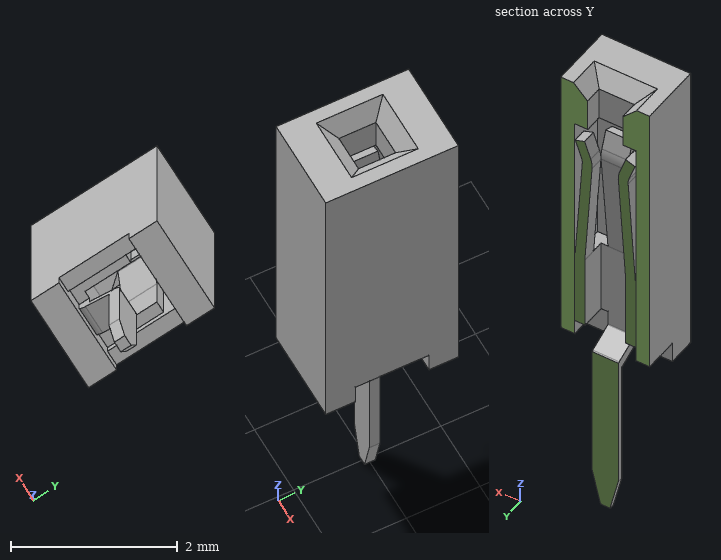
import cadquery as cq
import math

total_height = 6.7
housing_x = 1.27
housing_y = 1.8
housing_bottom = 2.3
recess_y = 1.0
recess_height = 0.3
recess_top = housing_bottom + recess_height
mouth_size = 0.905
throat_size = 0.5
funnel_depth = (mouth_size - throat_size) / 2
throat_length = 0.47
throat_bottom = total_height - funnel_depth - throat_length

sheet = 0.15
tail_width = 0.38
tip_width = 0.14
tip_length = 0.5
box_width = 0.87
box_bottom = 2.815
box_height = 1.07
box_top = box_bottom + box_height
bulge_height = 5.495
finger_top = 5.795
tail_bend_height = 2.36
slope_end_height = 2.56
side_gap = 0.18
back_gap = 0.195
flare = 0.11
side_wall_front = 0.3
side_finger_back = -0.19
tight_bend = 0.01
soft_bend = 0.2
sharp = 0

floor_middle = -recess_y / 2 + sheet / 2
wall_middle = box_width / 2 - sheet / 2


def offset_path(path, distance):
    """Offset an open path to its left, with mitred corners."""
    points = []
    for i, (u, v) in enumerate(path):
        before = path[max(i - 1, 0):i + 1]
        after = path[i:i + 2]
        legs = [leg for leg in (before, after) if len(leg) == 2]
        angles = [math.atan2(b[1] - a[1], b[0] - a[0]) for a, b in legs]
        middle = sum(angles) / len(angles)
        reach = distance / math.cos(angles[0] - middle)
        points.append((u - reach * math.sin(middle), v + reach * math.cos(middle)))
    return points


def bent_strip(plane, path, inside_radii, width):
    """Sheet strip that follows a mid-line path, centred on the plane, with rounded or sharp bends."""
    left = offset_path(path, sheet / 2)
    right = offset_path(path, -sheet / 2)
    outline = left + right[::-1]
    strip = cq.Workplane(plane).workplane(offset=-width / 2).polyline(outline).close().extrude(width)
    frame = cq.Plane.named(plane)
    for i, radius in enumerate(inside_radii, start=1):
        if radius == sharp:
            continue
        (u0, v0), (u1, v1), (u2, v2) = path[i - 1:i + 2]
        turns_left = (u1 - u0) * (v2 - v1) > (v1 - v0) * (u2 - u1)
        inner, outer = (left[i], right[i]) if turns_left else (right[i], left[i])
        for corner, bend in ((inner, radius), (outer, radius + sheet)):
            strip = strip.edges(cq.NearestToPointSelector(frame.toWorldCoords(corner))).fillet(bend)
    return strip


def make_housing():
    block = (
        cq.Workplane("XY", origin=(0, 0, housing_bottom))
        .rect(housing_x, housing_y)
        .extrude(total_height - housing_bottom)
    )
    recess = (
        cq.Workplane("XY", origin=(0, 0, housing_bottom))
        .rect(housing_x, recess_y)
        .extrude(recess_height)
    )
    cavity = (
        cq.Workplane("XY", origin=(0, 0, recess_top))
        .rect(box_width, recess_y)
        .extrude(throat_bottom - recess_top)
    )
    throat = (
        cq.Workplane("XY", origin=(0, 0, throat_bottom))
        .rect(throat_size, throat_size)
        .extrude(throat_length)
    )
    funnel = (
        cq.Workplane("XY", origin=(0, 0, total_height))
        .rect(mouth_size, mouth_size)
        .workplane(offset=-funnel_depth)
        .rect(throat_size, throat_size)
        .loft()
    )
    return block.cut(recess).cut(cavity).cut(throat).cut(funnel)


def make_tail_and_back_finger():
    bulge = -back_gap - sheet / 2
    path = [
        (0, 0),
        (0, tail_bend_height),
        (floor_middle, slope_end_height),
        (floor_middle, box_top),
        (bulge, bulge_height),
        (bulge - flare, finger_top),
    ]
    strip = bent_strip("YZ", path, [tight_bend, tight_bend, sharp, soft_bend], tail_width)
    half_tip = tip_width / 2
    half_tail = tail_width / 2
    tip_waste = (
        cq.Workplane("XZ")
        .polyline([(half_tip, 0), (half_tail, tip_length), (half_tail, 0)])
        .close()
        .extrude(sheet, both=True)
    )
    return strip.cut(tip_waste).cut(tip_waste.mirror("YZ"))


def make_side_finger():
    """Right-hand wall of the contact box and the finger rising from it."""
    bulge = side_gap + sheet / 2
    path = [
        (wall_middle, box_bottom),
        (wall_middle, box_top),
        (bulge, bulge_height),
        (bulge + flare, finger_top),
    ]
    width = side_wall_front - side_finger_back
    middle = (side_wall_front + side_finger_back) / 2
    return bent_strip("XZ", path, [sharp, soft_bend], width).translate((0, middle, 0))


def make_box():
    """Channel with a floor on the -Y side and a wall on each X side."""
    back = -recess_y / 2
    half_width = box_width / 2
    inside = half_width - sheet
    outline = [
        (-half_width, back),
        (half_width, back),
        (half_width, side_wall_front),
        (inside, side_wall_front),
        (inside, back + sheet),
        (-inside, back + sheet),
        (-inside, side_wall_front),
        (-half_width, side_wall_front),
    ]
    return (
        cq.Workplane("XY", origin=(0, 0, box_bottom))
        .polyline(outline)
        .close()
        .extrude(box_height)
    )


def make_contact():
    side_finger = make_side_finger()
    contact = make_box().union(make_tail_and_back_finger())
    for finger in (side_finger, side_finger.mirror("YZ")):
        contact = contact.union(finger)
    return contact


housing = make_housing()
contact = make_contact()
result = cq.Compound.makeCompound([housing.val(), contact.val()])